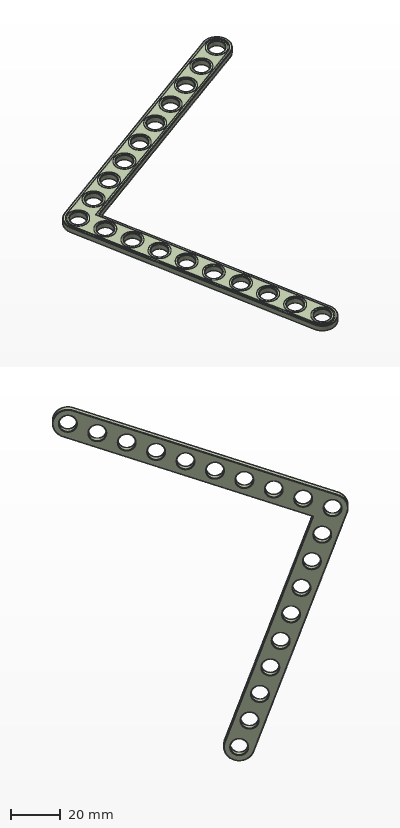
import cadquery as cq

hole_pitch = 12.5
holes_per_arm = 10
arm_width = hole_pitch
thickness = 3.1
hole_diameter = 7.0
rim_width = 1.1
pocket_depth = 0.2
edge_chamfer = 0.3

ring_diameter = hole_diameter + 2 * rim_width
pocket_width = arm_width - 2 * rim_width
last_hole = (holes_per_arm - 1) * hole_pitch
hole_centers = [(i * hole_pitch, 0) for i in range(holes_per_arm)]
hole_centers += [(0, i * hole_pitch) for i in range(1, holes_per_arm)]


def angle_plate(width, height):
    """Two round-ended arms at right angles, centered on the two rows of holes."""
    arm_x = cq.Workplane("XY").center(last_hole / 2, 0).slot2D(last_hole + width, width).extrude(height)
    arm_y = arm_x.rotate((0, 0, 0), (0, 0, 1), 90)
    return arm_x.union(arm_y, clean=True)


def discs_at_holes(diameter, height):
    """One disc on every hole center."""
    return cq.Workplane("XY").pushPoints(hole_centers).circle(diameter / 2).extrude(height)


body = angle_plate(arm_width, thickness).cut(discs_at_holes(hole_diameter, thickness))
body = body.faces(">Z or <Z").edges().chamfer(edge_chamfer)

pocket = angle_plate(pocket_width, pocket_depth)
pocket = pocket.cut(discs_at_holes(ring_diameter, pocket_depth))
result = body.cut(pocket.translate((0, 0, thickness - pocket_depth)))